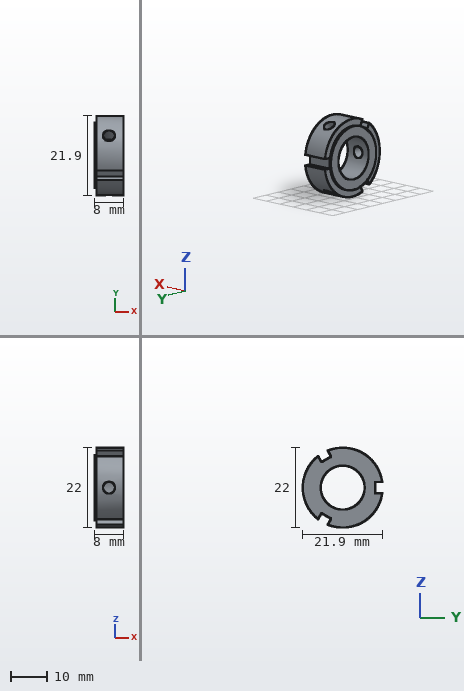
import cadquery as cq

outer_diameter = 21.97
bore_diameter = 12.0
face_diameter = 18.0
total_width = 8.0
face_height = 0.5

repeat_count = 3
slot_width = 3.0
slot_floor_radius = face_diameter / 2
screw_hole_diameter = 3.25
screw_hole_x = total_width / 2

outer_radius = outer_diameter / 2
angle_step = 360 / repeat_count


def cylinder_along_x(diameter, start_x, length):
    return cq.Workplane("YZ", origin=(start_x, 0, 0)).circle(diameter / 2).extrude(length)


def turned_about_x(shape, angle):
    return shape.rotate((0, 0, 0), (1, 0, 0), angle)


def spanner_slot():
    """Flat-floored slot on the +Y side, open at both ends of the main ring."""
    depth = outer_radius - slot_floor_radius
    return cq.Workplane("XY", origin=(0, slot_floor_radius, 0)).box(
        total_width, 2 * depth, slot_width, centered=(False, False, True)
    )


def screw_hole():
    """Radial hole on the -Y side, from the bore to the outside."""
    return (
        cq.Workplane("XZ", origin=(screw_hole_x, 0, 0))
        .circle(screw_hole_diameter / 2)
        .extrude(outer_diameter)
    )


main_ring = cylinder_along_x(outer_diameter, face_height, total_width - face_height)
raised_face = cylinder_along_x(face_diameter, 0, face_height)
bore = cylinder_along_x(bore_diameter, 0, total_width)
result = main_ring.union(raised_face).cut(bore)

for index in range(repeat_count):
    angle = index * angle_step
    result = result.cut(turned_about_x(spanner_slot(), angle))
    result = result.cut(turned_about_x(screw_hole(), angle))